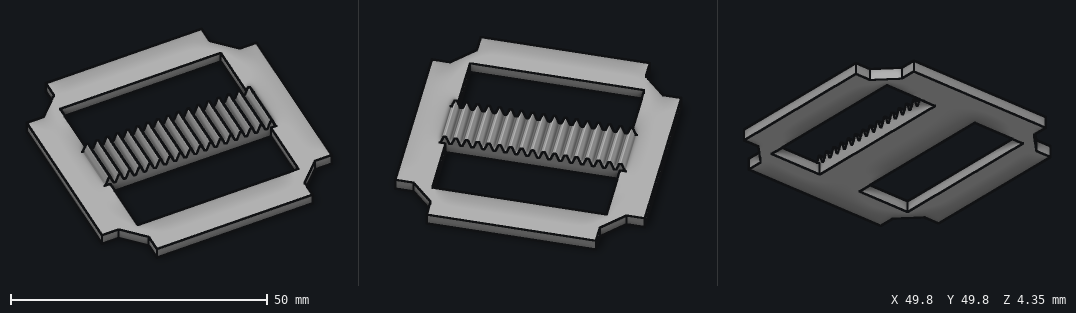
import cadquery as cq
import math

frame_size = 49.8
frame_thickness = 2.5
window_size = 34.75
notch_size = 8.0
notch_straight = 3.65

total_height = 4.35
bar_width = 10.15
tooth_count = 17
tooth_pitch = 2.2
flank_angle = math.radians(20.0)

bar_length = tooth_count * tooth_pitch
tooth_height = total_height - frame_thickness

sharp_height = tooth_pitch / 2 / math.tan(flank_angle)
round_radius = (sharp_height - tooth_height) / (2 / math.sin(flank_angle) - 2)
round_run = round_radius * math.cos(flank_angle)
round_rise = round_radius * (1 - math.sin(flank_angle))


def make_frame():
    """Square frame with a square window and a bevelled notch at each corner."""
    frame = cq.Workplane("XY").rect(frame_size, frame_size).rect(window_size, window_size)
    frame = frame.extrude(frame_thickness)
    half = frame_size / 2
    inner = half - notch_size
    bend = half - notch_straight
    notch_points = [(half, half), (inner, half), (inner, bend), (bend, inner), (half, inner)]
    notch = cq.Workplane("XY").polyline(notch_points).close().extrude(frame_thickness)
    for quarter_turn in range(4):
        frame = frame.cut(notch.rotate((0, 0, 0), (0, 0, 1), 90 * quarter_turn))
    return frame


def make_rack():
    """Rack of straight-flanked teeth with fully rounded tips and roots, on a bar as thick as the frame."""
    half_pitch = tooth_pitch / 2
    flank_bottom = frame_thickness + round_rise
    flank_top = total_height - round_rise
    half_sweep = (math.pi / 2 - flank_angle) / 2
    arc_run = round_radius * math.sin(half_sweep)
    arc_rise = round_radius * (1 - math.cos(half_sweep))
    profile = cq.Workplane("YZ").moveTo(-bar_length / 2, frame_thickness)
    for tooth in range(tooth_count):
        center = (tooth - (tooth_count - 1) / 2) * tooth_pitch
        left_root = center - half_pitch
        right_root = center + half_pitch
        profile = (
            profile.threePointArc(
                (left_root + arc_run, frame_thickness + arc_rise), (left_root + round_run, flank_bottom)
            )
            .lineTo(center - round_run, flank_top)
            .threePointArc((center, total_height), (center + round_run, flank_top))
            .lineTo(right_root - round_run, flank_bottom)
            .threePointArc(
                (right_root - arc_run, frame_thickness + arc_rise), (right_root, frame_thickness)
            )
        )
    profile = profile.lineTo(bar_length / 2, 0).lineTo(-bar_length / 2, 0).close()
    return profile.extrude(bar_width / 2, both=True)


result = make_frame().union(make_rack())